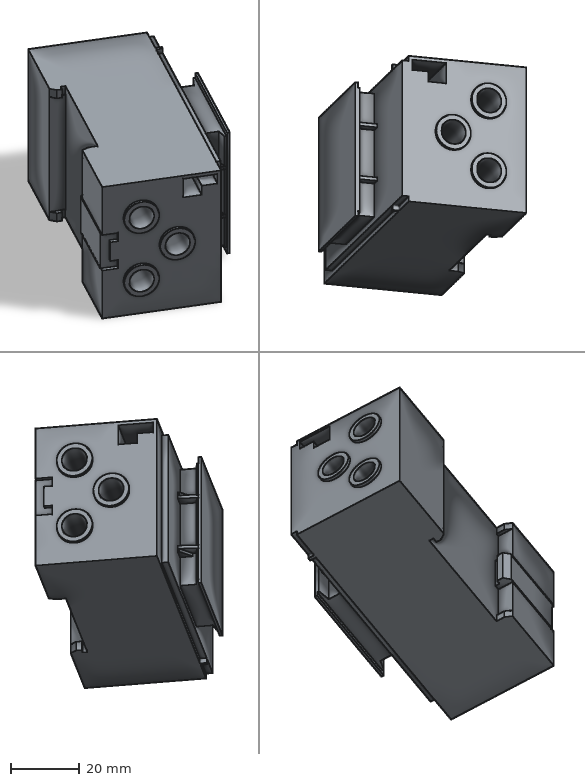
import cadquery as cq

length = 84.0
height = 44.8
collar_projection = 1.0
body_depth = 36.1
cover_top = 38.1
end_x = length / 2 - collar_projection
top_z = height / 2

cover_half_z = 20.8
cover_right_x = 33.2
rib_left_x = -31.8
rib_right_x = -30.8
rib_root_radius = 0.25

bezel_top = 45.2
bezel_thickness = 0.8
bezel_half_x = 17.7
bezel_half_z = 20.6
bezel_bottom = bezel_top - bezel_thickness
neck_half_x = 13.7
neck_half_z = 19.0
neck_lip_y = 43.75
neck_roof_y = 42.9
web_inner_z = 7.7
web_thickness = 1.0
web_left_x = -16.6
web_right_top_x = 16.8
web_right_bottom_x = 17.5
gusset_inner_y = 42.0
gusset_outer_y = 38.55

rail_floor_y = 4.95
rail_left_x = -17.5
rail_right_x = 19.0
hook_height = 2.85
hook_y = 3.5
hook_undercut_x = -17.7
hook_tip_x = -16.1
hook_tip_y = 1.9
stop_x = 18.0
stop_y = 2.2

clip_half_z = 6.05
clip_face_y = -0.25
clip_tip_x = 16.1
clip_tip_y = 1.5
clip_neck_x = 17.4
clip_bevel_x = 18.0
clip_end_x = 39.6
clip_tab_half_z = 3.2
clip_tab_y = 2.5

bore_diameter = 7.5
collar_diameter = 10.6
bore_positions = [(11.75, 10.75), (22.7, 0.0), (11.75, -10.75)]

window_low_y = 24.6
window_step_y = 30.2
window_high_y = 35.0
window_bottom_z = 15.0
window_step_z = 18.1
window_top_z = 21.3


def block(x_range, y_range, z_range):
    """Box between the given limits."""
    sizes = [high - low for low, high in (x_range, y_range, z_range)]
    corner = (x_range[0], y_range[0], z_range[0])
    return cq.Workplane("XY").box(*sizes, centered=False).translate(corner)


def prism_z(points, low_z, high_z):
    """Outline in X and Y extruded between two heights."""
    return cq.Workplane("XY").workplane(offset=low_z).polyline(points).close().extrude(high_z - low_z)


def along_x(sketch_y_z, half_length):
    """Closed outline on the YZ plane extruded both ways along X."""
    return sketch_y_z.extrude(half_length, both=True)


def mirrored_pair(shape):
    """The shape together with its mirror image below Z = 0."""
    return shape.union(shape.mirror("XY"))


def left_corner_notch():
    """Space beside the cover on the left, with rounded corners where it meets the rib."""
    notch = block((-end_x, rib_left_x), (body_depth, cover_top), (cover_half_z, top_z))
    return notch.faces(">X").edges("<Z or <Y").fillet(rib_root_radius)


def right_corner_notch():
    """Space beside the cover on the right of the rib."""
    return block((rib_right_x, cover_right_x), (body_depth, cover_top), (cover_half_z, top_z))


def housing():
    body = block((-end_x, end_x), (0, body_depth), (-top_z, top_z))
    cover = block((-end_x, cover_right_x), (body_depth, cover_top), (-top_z, top_z))
    rail = block((rail_left_x, rail_right_x), (0, rail_floor_y), (-top_z, top_z))
    return (
        body.union(cover)
        .cut(mirrored_pair(left_corner_notch()))
        .cut(mirrored_pair(right_corner_notch()))
        .cut(rail)
    )


def rail_hooks():
    """Corner hooks on the left of the rail recess, with the undercut above them."""
    hook = prism_z(
        [(rail_left_x, 0), (hook_tip_x, hook_tip_y), (hook_tip_x, hook_y), (rail_left_x, hook_y)],
        top_z - hook_height, top_z,
    )
    return mirrored_pair(hook)


def rail_undercuts():
    undercut = block((hook_undercut_x, rail_left_x), (hook_y, rail_floor_y), (top_z - hook_height, top_z))
    return mirrored_pair(undercut)


def rail_stops():
    """Corner stops on the right of the rail recess."""
    stop = prism_z(
        [(rail_right_x, 0), (rail_right_x, rail_floor_y), (stop_x, rail_floor_y), (stop_x, stop_y)],
        top_z - hook_height, top_z,
    )
    return mirrored_pair(stop)


def clip():
    return prism_z(
        [
            (clip_bevel_x, clip_face_y), (clip_end_x, clip_face_y), (clip_end_x, rail_floor_y),
            (clip_neck_x, rail_floor_y), (clip_neck_x, hook_y), (clip_tip_x, hook_y),
            (clip_tip_x, clip_tip_y),
        ],
        -clip_half_z, clip_half_z,
    )


def clip_recess():
    """Open space behind the clip at the right end, around a central tab."""
    recess = block((clip_end_x, end_x), (0, rail_floor_y), (-clip_half_z, clip_half_z))
    tab = block((clip_end_x, end_x), (clip_tab_y, rail_floor_y), (-clip_tab_half_z, clip_tab_half_z))
    return recess.cut(tab)


def display():
    bezel = block((-bezel_half_x, bezel_half_x), (bezel_bottom, bezel_top), (-bezel_half_z, bezel_half_z))
    neck = prism_z(
        [
            (-neck_half_x, cover_top), (neck_half_x, cover_top), (neck_half_x, neck_roof_y),
            (web_right_top_x, neck_lip_y), (web_right_top_x, bezel_bottom), (-bezel_half_x, bezel_bottom),
            (-bezel_half_x, neck_lip_y), (-neck_half_x, neck_roof_y),
        ],
        -neck_half_z, neck_half_z,
    )
    web_outer_z = web_inner_z + web_thickness
    web = prism_z(
        [
            (web_left_x, cover_top), (web_right_bottom_x, cover_top),
            (web_right_top_x, bezel_bottom), (web_left_x, bezel_bottom),
        ],
        web_inner_z, web_outer_z,
    )
    gusset = prism_z(
        [
            (neck_half_x, cover_top), (web_right_bottom_x, cover_top),
            (web_right_bottom_x, gusset_outer_y), (neck_half_x, gusset_inner_y),
        ],
        web_outer_z, web_outer_z + web_thickness,
    )
    return bezel.union(neck).union(mirrored_pair(web.union(gusset)))


def collars():
    outline = cq.Workplane("YZ").pushPoints(bore_positions).circle(collar_diameter / 2)
    return along_x(outline, length / 2)


def bores():
    outline = cq.Workplane("YZ").pushPoints(bore_positions).circle(bore_diameter / 2)
    return along_x(outline, length / 2)


def window():
    outline = cq.Workplane("YZ").polyline([
        (window_low_y, window_bottom_z), (window_step_y, window_bottom_z),
        (window_step_y, window_step_z), (window_high_y, window_step_z),
        (window_high_y, window_top_z), (window_low_y, window_top_z),
    ]).close()
    return along_x(outline, length / 2)


result = (
    housing()
    .cut(rail_undercuts())
    .union(rail_hooks())
    .union(rail_stops())
    .cut(clip_recess())
    .union(clip())
    .union(display())
    .union(collars())
    .cut(bores())
    .cut(window())
)